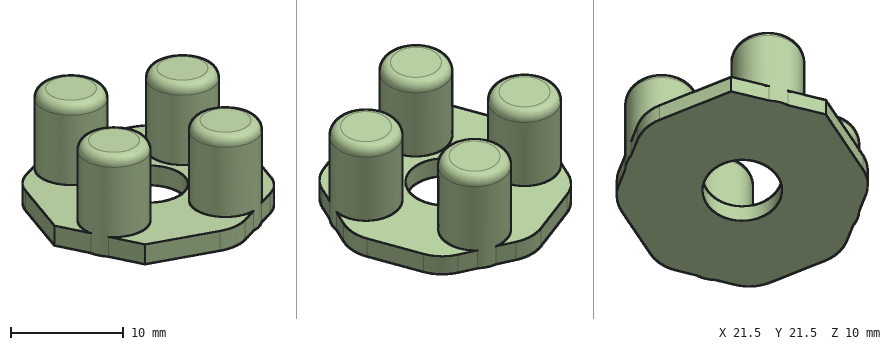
import cadquery as cq
import math

overall_width = 21.5
overall_height = 10.0
plate_width = 21.26
plate_thickness = 2.0
corner_radius = 4.0
bore_diameter = 7.05
pin_diameter = 6.5
pin_top_radius = 0.99
pin_count = 4

pin_circle_radius = (overall_width - pin_diameter) / 2
half_width = plate_width / 2
half_flat = half_width * math.tan(math.pi / 8)


def make_plate():
    """Regular octagon with a central bore; the two corners on -Y stay sharp."""
    outline = [
        (-half_flat, -half_width),
        (half_flat, -half_width),
        (half_width, -half_flat),
        (half_width, half_flat),
        (half_flat, half_width),
        (-half_flat, half_width),
        (-half_width, half_flat),
        (-half_width, -half_flat),
    ]
    plate = cq.Workplane("XY").polyline(outline).close().extrude(plate_thickness)
    sharp_corners = cq.selectors.DirectionMinMaxSelector(cq.Vector(0, 1, 0), False)
    rounded_corners = cq.selectors.StringSyntaxSelector("|Z") - sharp_corners
    plate = plate.edges(rounded_corners).fillet(corner_radius)
    return plate.faces(">Z").workplane().hole(bore_diameter)


def make_pins():
    """Full-height round pins with rounded tops, evenly spaced on a circle."""
    return (
        cq.Workplane("XY")
        .polarArray(pin_circle_radius, 0, 360, pin_count)
        .circle(pin_diameter / 2)
        .extrude(overall_height)
        .faces(">Z")
        .edges()
        .fillet(pin_top_radius)
    )


result = make_plate().union(make_pins())